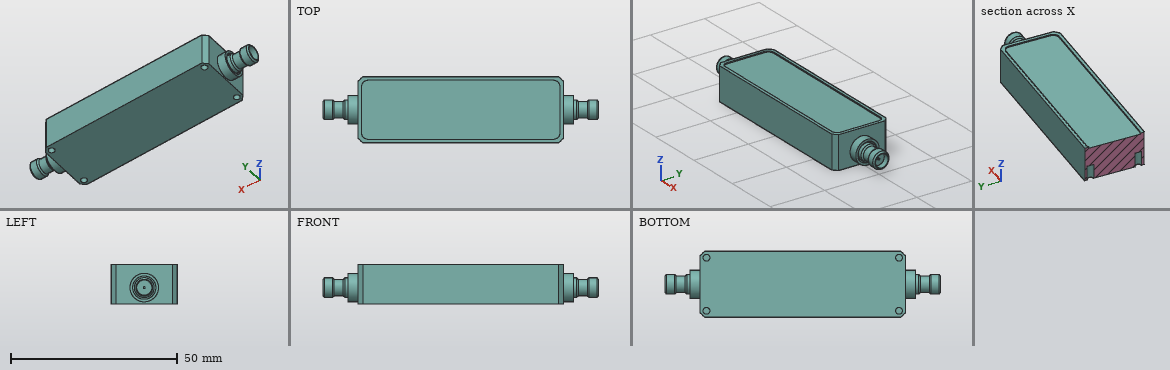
import cadquery as cq

BODY_LENGTH = 62.0
BODY_WIDTH = 20.0
BODY_HEIGHT = 12.0
CORNER_BEVEL = 1.5
RIM_WIDTH = 1.1
LID_CORNER_RADIUS = 2.0
LID_RECESS = 0.4

SCREW_HOLE_DIAMETER = 2.05
SCREW_HOLE_DEPTH = 5.0
SCREW_HOLE_INSET = 2.0

OVERALL_LENGTH = 83.0
CONNECTOR_LENGTH = (OVERALL_LENGTH - BODY_LENGTH) / 2
CONNECTOR_AXIS_Z = 5.0
FLANGE_DIAMETER = 8.6
FLANGE_LENGTH = 3.0
GROOVE_DIAMETER = 7.0
GROOVE_DEPTH = 0.5
BARREL_DIAMETER = 6.0
COLLAR_LENGTH = 0.9
NECK_DIAMETER = 5.0
NECK_LENGTH = 2.7
TAPER_LENGTH = (BARREL_DIAMETER - NECK_DIAMETER) / 2
TIP_DIAMETER = 5.0
TIP_BEVEL_LENGTH = 0.5
BORE_DIAMETER = 4.6
BORE_DEPTH = 2.0
PIN_DIAMETER = 0.6
PIN_LENGTH = 0.5


def make_housing():
    """Box standing on Z = 0, with the lid panel sunk below its rim."""
    box = (
        cq.Workplane("XY")
        .box(BODY_LENGTH, BODY_WIDTH, BODY_HEIGHT, centered=(True, True, False))
        .edges("|Z")
        .chamfer(CORNER_BEVEL)
    )
    recess = (
        cq.Workplane("XY", origin=(0, 0, BODY_HEIGHT - LID_RECESS))
        .rect(BODY_LENGTH - 2 * RIM_WIDTH, BODY_WIDTH - 2 * RIM_WIDTH)
        .extrude(LID_RECESS)
        .edges("|Z")
        .fillet(LID_CORNER_RADIUS)
    )
    return box.cut(recess)


def make_screw_holes():
    """Cutters for the four underside holes, equally inset from both pairs of side faces."""
    spacing_x = BODY_LENGTH - 2 * SCREW_HOLE_INSET
    spacing_y = BODY_WIDTH - 2 * SCREW_HOLE_INSET
    return (
        cq.Workplane("XY")
        .rect(spacing_x, spacing_y, forConstruction=True)
        .vertices()
        .circle(SCREW_HOLE_DIAMETER / 2)
        .extrude(SCREW_HOLE_DEPTH)
    )


def make_connector():
    """Turned connector on the +X end: half profile of length and radius, spun about its axis."""
    flange_end = FLANGE_LENGTH
    groove_floor = flange_end - GROOVE_DEPTH
    collar_end = flange_end + COLLAR_LENGTH
    neck_start = collar_end + TAPER_LENGTH
    neck_end = neck_start + NECK_LENGTH
    barrel_start = neck_end + TAPER_LENGTH
    barrel_end = CONNECTOR_LENGTH - TIP_BEVEL_LENGTH
    bore_floor = CONNECTOR_LENGTH - BORE_DEPTH
    pin_end = bore_floor + PIN_LENGTH
    profile = [
        (0, 0),
        (0, FLANGE_DIAMETER / 2),
        (flange_end, FLANGE_DIAMETER / 2),
        (flange_end, GROOVE_DIAMETER / 2),
        (groove_floor, GROOVE_DIAMETER / 2),
        (groove_floor, BARREL_DIAMETER / 2),
        (collar_end, BARREL_DIAMETER / 2),
        (neck_start, NECK_DIAMETER / 2),
        (neck_end, NECK_DIAMETER / 2),
        (barrel_start, BARREL_DIAMETER / 2),
        (barrel_end, BARREL_DIAMETER / 2),
        (CONNECTOR_LENGTH, TIP_DIAMETER / 2),
        (CONNECTOR_LENGTH, BORE_DIAMETER / 2),
        (bore_floor, BORE_DIAMETER / 2),
        (bore_floor, PIN_DIAMETER / 2),
        (pin_end, PIN_DIAMETER / 2),
        (pin_end, 0),
    ]
    return (
        cq.Workplane("XY")
        .polyline(profile)
        .close()
        .revolve(360, (0, 0, 0), (1, 0, 0))
        .translate((BODY_LENGTH / 2, 0, CONNECTOR_AXIS_Z))
    )


plus_x_connector = make_connector()
minus_x_connector = plus_x_connector.mirror("YZ")
housing = make_housing().cut(make_screw_holes())
result = housing.union(plus_x_connector).union(minus_x_connector)